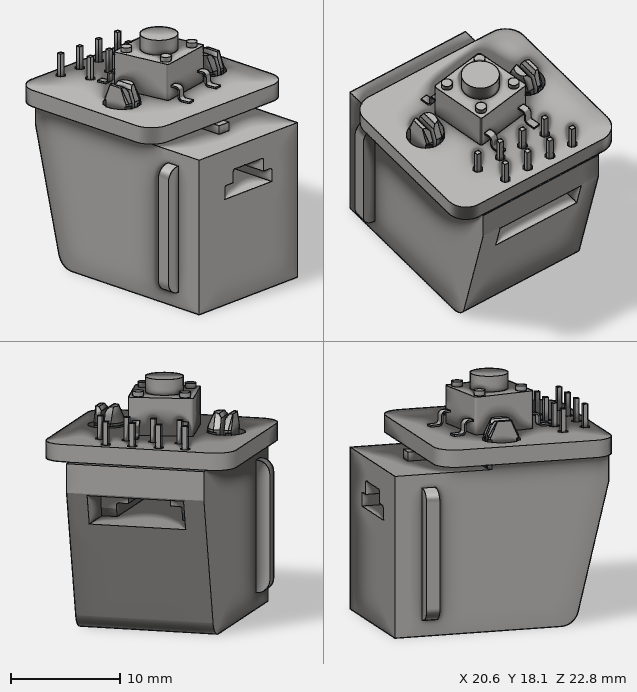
import cadquery as cq
import math


JACK_LENGTH = 20.63
JACK_WIDTH = 13.15
DECK_Z = 15.2
JACK_TOP_Z = 16.05
SLOPE_TOP_Z = 13.3
SLOPE_RUN = 3.26
FOOT_RADIUS = 1.71
SIDE_Y = JACK_WIDTH / 2
SLOPE_TAN = SLOPE_RUN / SLOPE_TOP_Z

RIB_END_X = 17.45
RIB_WIDTH = 1.3
RIB_CENTER_Y = 0.11

FLANGE_X = 16.73
FLANGE_THICKNESS = 1.28
FLANGE_REACH = 1.32
FLANGE_BOTTOM_Z = 1.53
FLANGE_TOP_Z = 13.92
FLANGE_RADIUS = 1.25

WINDOW_WIDTH = 9.22
WINDOW_BOTTOM_Z = 10.38
WINDOW_TOP_Z = 13.17
WINDOW_BACK_X = 4.56
WINDOW_BEND_Z = 11.15
PASSAGE_WIDTH = 6.28
PASSAGE_STEP_Z = 11.7
LATCH_WIDTH = 4.05
LATCH_TOP_Z = 13
PASSAGE_RADIUS = 0.23

BOARD_LENGTH = 17.07
BOARD_WIDTH = 18.1
BOARD_BOTTOM_Z = 16.2
BOARD_THICKNESS = 1.62
BOARD_RADIUS = 2.03
BOARD_TOP_Z = BOARD_BOTTOM_Z + BOARD_THICKNESS
PEG_X = 10.09
PEG_HOLE_Y = 5.7
PEG_HOLE_DIAMETER = 3.5
PIN_HOLE_DIAMETER = 0.9

PEG_CENTER_Y = 5.61
SHANK_RADIUS = 1.53
LIP_RADIUS = 1.62
PEG_FLAT_HALF = 1.45
LIP_CLEARANCE = 0.14
LIP_HEIGHT = 0.25
LIP_BOTTOM_Z = BOARD_TOP_Z + LIP_CLEARANCE
LIP_TOP_Z = LIP_BOTTOM_Z + LIP_HEIGHT
PEG_TOP_Z = 19.65
TIP_CENTER_Y = PEG_HOLE_Y
TIP_RADIUS = 1.1
TIP_CORNER_HALF = 0.7
TIP_BULGE_HALF = 0.9
SLOT_INNER_Y = 5.55
SLOT_OUTER_Y = 5.93
SLOT_CHAMFER_WIDTH = 0.27
SLOT_CHAMFER_HEIGHT = 0.39
PAD_SIDE_Y = 5.75
RECESS_HALF = 1.48
PAD_END_X = PEG_X + RECESS_HALF
PEG_RECESS_X = PEG_X - RECESS_HALF

PIN_PITCH = 2.53
PIN_COLUMNS = 2
PIN_ROWS = 4
PIN_COLUMN_X = 1.19
PIN_STAGGER = PIN_PITCH / 2
PIN_LENGTH_X = 0.4
PIN_LENGTH_Y = 0.45
PIN_TOP_Z = 19.97
PIN_EMBED = 0.91

SWITCH_X = 9.38
SWITCH_ANGLE = 10
SWITCH_SIDE = 6.0
SWITCH_RADIUS = 0.25
SWITCH_TOP_Z = 21.35
BUTTON_DIAMETER = 3.5
BUTTON_TOP_Z = 22.82
STUD_DIAMETER = 1.0
STUD_SPACING = 4.34
STUD_TOP_Z = 21.82

LEAD_THICKNESS = 0.15
LEAD_WIDTH = 0.7
LEAD_OFFSET = 2.24
LEAD_TOP_Z = 19.2
LEAD_WALL_X = 3.95
LEAD_TIP_X = 5.02
LEAD_UPPER_RADIUS = 0.4
LEAD_LOWER_RADIUS = 0.37
LEAD_EMBED = 0.23


def block(x_range, y_range, z_range):
    """Axis-aligned block between the given limits."""
    x_min, x_max = x_range
    y_min, y_max = y_range
    z_min, z_max = z_range
    size = (x_max - x_min, y_max - y_min, z_max - z_min)
    return cq.Workplane("XY").box(*size, centered=False).translate((x_min, y_min, z_min))


def on_both_sides(shape):
    """The shape and its mirror image across the middle plane."""
    return [shape, shape.mirror("XZ")]


def pin_positions():
    """Middle of each pin; the second column is shifted by half a pitch."""
    first_y = -(PIN_ROWS - 1) / 2 * PIN_PITCH
    positions = []
    for column in range(PIN_COLUMNS):
        shift = (column - (PIN_COLUMNS - 1) / 2) * PIN_STAGGER
        for row in range(PIN_ROWS):
            positions.append((PIN_COLUMN_X + column * PIN_PITCH, first_y + row * PIN_PITCH + shift))
    return positions


def flatted_circle(z, radius):
    """Peg outline at height z: a circle with its two X sides cut to flats."""
    flat_y = math.sqrt(radius**2 - PEG_FLAT_HALF**2)
    return (
        cq.Workplane("XY", origin=(PEG_X, PEG_CENTER_Y, z))
        .moveTo(-PEG_FLAT_HALF, -flat_y)
        .threePointArc((0, -radius), (PEG_FLAT_HALF, -flat_y))
        .lineTo(PEG_FLAT_HALF, flat_y)
        .threePointArc((0, radius), (-PEG_FLAT_HALF, flat_y))
        .close()
    )


def bulged_tip():
    """Outline of the end of a peg: round ends joined by gently bulged X sides."""
    corner_y = math.sqrt(TIP_RADIUS**2 - TIP_CORNER_HALF**2)
    return (
        cq.Workplane("XY", origin=(PEG_X, TIP_CENTER_Y, PEG_TOP_Z))
        .moveTo(-TIP_CORNER_HALF, -corner_y)
        .threePointArc((0, -TIP_RADIUS), (TIP_CORNER_HALF, -corner_y))
        .threePointArc((TIP_BULGE_HALF, 0), (TIP_CORNER_HALF, corner_y))
        .threePointArc((0, TIP_RADIUS), (-TIP_CORNER_HALF, corner_y))
        .threePointArc((-TIP_BULGE_HALF, 0), (-TIP_CORNER_HALF, -corner_y))
        .close()
    )


def make_slot_cutter():
    """Slot that splits a peg along X, widened by a chamfer at the tip."""
    chamfer_z = PEG_TOP_Z - SLOT_CHAMFER_HEIGHT
    return (
        cq.Workplane("YZ", origin=(PEG_X - LIP_RADIUS, 0, 0))
        .moveTo(SLOT_INNER_Y, JACK_TOP_Z)
        .lineTo(SLOT_OUTER_Y, JACK_TOP_Z)
        .lineTo(SLOT_OUTER_Y, chamfer_z)
        .lineTo(SLOT_OUTER_Y + SLOT_CHAMFER_WIDTH, PEG_TOP_Z)
        .lineTo(SLOT_INNER_Y - SLOT_CHAMFER_WIDTH, PEG_TOP_Z)
        .lineTo(SLOT_INNER_Y, chamfer_z)
        .close()
        .extrude(2 * LIP_RADIUS)
    )


def make_peg():
    """Split snap peg on the +Y side, trimmed flush with the side of the housing."""
    shank_outline = flatted_circle(DECK_Z, SHANK_RADIUS)
    lip_outline = flatted_circle(LIP_BOTTOM_Z, LIP_RADIUS)
    tip_outlines = [flatted_circle(LIP_TOP_Z, LIP_RADIUS).val(), bulged_tip().val()]
    shank = shank_outline.extrude(LIP_BOTTOM_Z - DECK_Z)
    lip = lip_outline.extrude(LIP_TOP_Z - LIP_BOTTOM_Z)
    tip = cq.Workplane(cq.Solid.makeLoft(tip_outlines, True))
    inside_width = block((0, JACK_LENGTH), (0, SIDE_Y), (DECK_Z, PEG_TOP_Z))
    return shank.union(lip).union(tip).intersect(inside_width).cut(make_slot_cutter())


def make_shell():
    """Housing block with its sloped end and rounded foot."""
    return (
        cq.Workplane("XZ", origin=(0, SIDE_Y, 0))
        .moveTo(SLOPE_RUN, 0)
        .lineTo(JACK_LENGTH, 0)
        .lineTo(JACK_LENGTH, DECK_Z)
        .lineTo(0, DECK_Z)
        .lineTo(0, SLOPE_TOP_Z)
        .close()
        .extrude(JACK_WIDTH)
        .edges("<Z")
        .edges("<X")
        .fillet(FOOT_RADIUS)
    )


def make_pad():
    """Raised pad: full width up to the pegs, narrower beside them, then a rib."""
    heights = (DECK_Z, JACK_TOP_Z)
    rib_sides = (RIB_CENTER_Y - RIB_WIDTH / 2, RIB_CENTER_Y + RIB_WIDTH / 2)
    pad = block((0, PEG_X), (-SIDE_Y, SIDE_Y), heights)
    pad = pad.union(block((0, PAD_END_X), (-PAD_SIDE_Y, PAD_SIDE_Y), heights))
    pad = pad.union(block((0, RIB_END_X), rib_sides, heights))
    return pad


def make_peg_recess():
    """Groove in the pad beside the outer half of the peg on the +Y side."""
    return block((PEG_RECESS_X, PAD_END_X), (PAD_SIDE_Y, SLOT_OUTER_Y), (DECK_Z, JACK_TOP_Z))


def make_flanges():
    """Plate across the housing whose rounded ends stand out on both sides."""
    middle_z = (FLANGE_BOTTOM_Z + FLANGE_TOP_Z) / 2
    return (
        cq.Workplane("YZ", origin=(FLANGE_X, 0, middle_z))
        .rect(JACK_WIDTH + 2 * FLANGE_REACH, FLANGE_TOP_Z - FLANGE_BOTTOM_Z)
        .extrude(FLANGE_THICKNESS)
        .edges("|X")
        .fillet(FLANGE_RADIUS)
    )


def make_window():
    """Opening in the sloped end, with a back wall that bends near its floor."""
    bend_run = (WINDOW_BEND_Z - WINDOW_BOTTOM_Z) * SLOPE_TAN
    return (
        cq.Workplane("XZ", origin=(0, WINDOW_WIDTH / 2, 0))
        .moveTo(0, WINDOW_BOTTOM_Z)
        .lineTo(WINDOW_BACK_X + bend_run, WINDOW_BOTTOM_Z)
        .lineTo(WINDOW_BACK_X, WINDOW_BEND_Z)
        .lineTo(WINDOW_BACK_X, WINDOW_TOP_Z)
        .lineTo(0, WINDOW_TOP_Z)
        .close()
        .extrude(WINDOW_WIDTH)
    )


def make_passage():
    """Stepped passage from the window through the +X end."""
    def step(width, top_z):
        lengths = (WINDOW_BACK_X, JACK_LENGTH)
        tunnel = block(lengths, (-width / 2, width / 2), (WINDOW_BOTTOM_Z, top_z))
        return tunnel.edges("|X and >Z").fillet(PASSAGE_RADIUS)

    return step(PASSAGE_WIDTH, PASSAGE_STEP_Z).union(step(LATCH_WIDTH, LATCH_TOP_Z))


def make_pins():
    """All the pins, each with its foot inside the housing."""
    bottom_z = DECK_Z - PIN_EMBED
    return (
        cq.Workplane("XY", origin=(0, 0, bottom_z))
        .pushPoints(pin_positions())
        .rect(PIN_LENGTH_X, PIN_LENGTH_Y)
        .extrude(PIN_TOP_Z - bottom_z)
    )


def make_jack():
    """Jack housing with its pegs and pins, one solid."""
    jack = make_shell().union(make_pad())
    for peg in on_both_sides(make_peg()):
        jack = jack.union(peg)
    for recess in on_both_sides(make_peg_recess()):
        jack = jack.cut(recess)
    jack = jack.union(make_flanges())
    jack = jack.cut(make_window()).cut(make_passage())
    return jack.union(make_pins())


def make_board():
    """Rounded board with two peg holes and a hole around each pin."""
    return (
        cq.Workplane("XY", origin=(BOARD_LENGTH / 2, 0, BOARD_BOTTOM_Z))
        .rect(BOARD_LENGTH, BOARD_WIDTH)
        .extrude(BOARD_THICKNESS)
        .edges("|Z")
        .fillet(BOARD_RADIUS)
        .faces(">Z")
        .workplane(origin=(0, 0, 0))
        .pushPoints([(PEG_X, -PEG_HOLE_Y), (PEG_X, PEG_HOLE_Y)])
        .hole(PEG_HOLE_DIAMETER)
        .faces(">Z")
        .workplane(origin=(0, 0, 0))
        .pushPoints(pin_positions())
        .hole(PIN_HOLE_DIAMETER)
    )


def make_lead():
    """Bent strip from the +X face of an unturned switch down to its foot on the board."""
    start_x = SWITCH_SIDE / 2 - LEAD_EMBED
    upper_z = LEAD_TOP_Z - LEAD_THICKNESS / 2
    lower_z = BOARD_TOP_Z + LEAD_THICKNESS / 2
    upright_x = LEAD_WALL_X - LEAD_THICKNESS / 2
    path = (
        cq.Workplane("XZ")
        .moveTo(start_x, upper_z)
        .lineTo(upright_x - LEAD_UPPER_RADIUS, upper_z)
        .tangentArcPoint((upright_x, upper_z - LEAD_UPPER_RADIUS), relative=False)
        .lineTo(upright_x, lower_z + LEAD_LOWER_RADIUS)
        .tangentArcPoint((upright_x + LEAD_LOWER_RADIUS, lower_z), relative=False)
        .lineTo(LEAD_TIP_X, lower_z)
    )
    return cq.Workplane("YZ", origin=(start_x, 0, upper_z)).rect(LEAD_WIDTH, LEAD_THICKNESS).sweep(path)


def make_switch():
    """Push switch with button, four studs and four leads, turned on the board."""
    body = (
        cq.Workplane("XY", origin=(0, 0, BOARD_TOP_Z))
        .rect(SWITCH_SIDE, SWITCH_SIDE)
        .extrude(SWITCH_TOP_Z - BOARD_TOP_Z)
        .edges("|Z")
        .fillet(SWITCH_RADIUS)
    )
    top = cq.Workplane("XY", origin=(0, 0, SWITCH_TOP_Z))
    button = top.circle(BUTTON_DIAMETER / 2).extrude(BUTTON_TOP_Z - SWITCH_TOP_Z)
    studs = (
        top.rect(STUD_SPACING, STUD_SPACING, forConstruction=True)
        .vertices()
        .circle(STUD_DIAMETER / 2)
        .extrude(STUD_TOP_Z - SWITCH_TOP_Z)
    )
    switch = body.union(button).union(studs)
    for offset in (-LEAD_OFFSET, LEAD_OFFSET):
        lead = make_lead().translate((0, offset, 0))
        switch = switch.union(lead).union(lead.mirror("YZ"))
    return switch.rotate((0, 0, 0), (0, 0, 1), SWITCH_ANGLE).translate((SWITCH_X, 0, 0))


jack = make_jack()
board = make_board()
switch = make_switch()

result = cq.Compound.makeCompound([jack.solids().val(), board.solids().val(), switch.solids().val()])